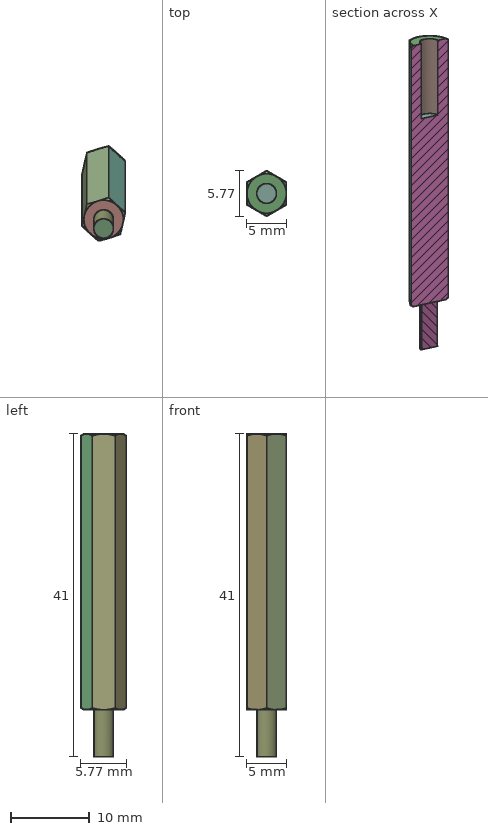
import cadquery as cq
import math

across_flats = 5.0
across_corners = across_flats / math.cos(math.pi / 6)
spacer_length = 35.0
thread_diameter = 2.5
hole_depth = 10.0
stud_length = 6.0

chamfer_angle = math.radians(30)
chamfer_width = (across_corners - across_flats) / 2
chamfer_height = chamfer_width * math.tan(chamfer_angle)


def make_corner_trim():
    """Round bar through the hexagon corners, with conical ends narrowing to the flats."""
    half_length = spacer_length / 2
    return (
        cq.Workplane("XZ")
        .moveTo(0, 0)
        .lineTo(across_flats / 2, 0)
        .lineTo(across_corners / 2, chamfer_height)
        .lineTo(across_corners / 2, half_length)
        .lineTo(0, half_length)
        .close()
        .revolve(360, (0, 0), (0, 1))
        .mirror("XY", (0, 0, half_length), union=True)
    )


def make_spacer():
    """Hexagonal body with two flats facing X, corners trimmed, and a blind top hole."""
    hexagon = (
        cq.Workplane("XY")
        .transformed(rotate=(0, 0, 30))
        .polygon(6, across_corners)
        .extrude(spacer_length)
    )
    top_hole = (
        cq.Workplane("XY")
        .workplane(offset=spacer_length - hole_depth)
        .circle(thread_diameter / 2)
        .extrude(hole_depth)
    )
    return hexagon.intersect(make_corner_trim()).cut(top_hole)


def make_stud():
    """Plain round stud hanging from the bottom face of the spacer, at Z = 0."""
    return cq.Workplane("XY").circle(thread_diameter / 2).extrude(-stud_length)


spacer = make_spacer()
stud = make_stud()

result = cq.Compound.makeCompound([spacer.val(), stud.val()])